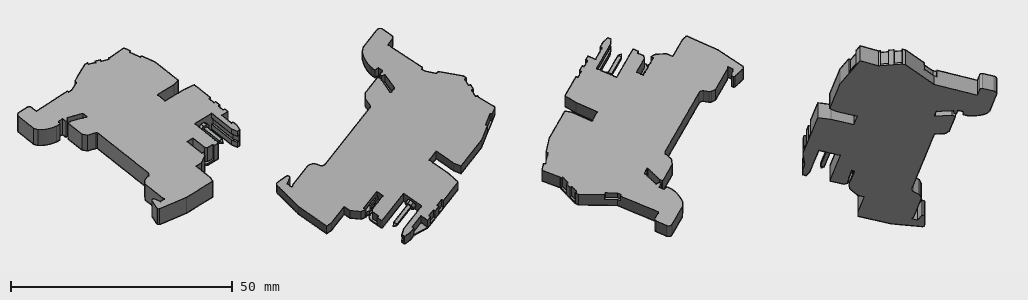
import cadquery as cq
import math


length = 47.4
height = 36.5
thickness = 5.05
skin = 0.55
recess_depth = 0.47

nose_bottom_y = 22.3
nose_top_y = 23.1
flank_corner = (2.1, 28.05)
block_corner = (1.8, 32.5)
block_top_y = 34.75
block_slope_end_x = 9.95
waist = (3.85, 14.4)

slot_left_x = 18.2
slot_right_x = 20.85
slot_floor_y = 28.1

tower_left_x = 21.25
tower_right_x = 32.75
arm_y = 35.1
tip_x = 39.0
lug_radius = 0.25
cavity_x = 30.78
cavity_top_y = 33.35
cavity_bottom_y = 28.25
arm_taper_x = 37.6
arm_tip_bottom_y = 33.8

pin_y = 30.6
pin_z = thickness / 2
pin_width = 0.9
pin_shank_end_x = 37.0
pin_tip_x = 37.8
pin_tip_width = 0.15
collar_diameter = 2.35
collar_end_x = 31.72
pin_root = 0.95

contact_left_x = 34.47
contact_bottom_y = 23.75
contact_top_y = 24.37
contact_pocket_x = contact_left_x - recess_depth
contact_pocket_bottom_y = 23.15
contact_pocket_top_y = 24.85
shelf_y = 23.45
shelf_z = thickness / 2
shelf_peak = (37.9, 24.05)
lip_recess_top_y = 26.9
lip_chamfer = 0.47

shoulder_y = 19.4
shoulder_x = 41.3
hook_bottom_y = 3.8

rail_y = 9.85
rail_right_x = 36.32
rail_shoulder_y = 6.9
rail_knee = (37.0, 7.7)
latch_gap_left_x = 11.0
latch_gap_right_x = 11.65
latch_top_y = 11.5
foot_left_x = 1.8
foot_top_y = 4.13
foot_right_x = 10.75
foot_bottom_radius = 0.95
foot_top_radius = 0.55
rail_radius = 0.95


def prism(points, z_low, z_high):
    """Closed polygon extruded between two heights."""
    return (
        cq.Workplane("XY")
        .workplane(offset=z_low)
        .polyline(points)
        .close()
        .extrude(z_high - z_low)
    )


def edge_recess(start, end, first, last, floor_z):
    """Cutter along the edge start-end, sunk to the right of its direction.

    It covers the distances first to last from start and is open upwards.
    """
    run = math.dist(start, end)
    ux = (end[0] - start[0]) / run
    uy = (end[1] - start[1]) / run

    def along(distance, depth):
        return (
            start[0] + ux * distance + uy * depth,
            start[1] + uy * distance - ux * depth,
        )

    corners = [
        along(first, -recess_depth),
        along(last, -recess_depth),
        along(last, recess_depth),
        along(first, recess_depth),
    ]
    return prism(corners, floor_z, thickness)


def round_corner(body, x, y, radius):
    """Fillet the upright edge at (x, y)."""
    reach = 0.1
    box = cq.selectors.BoxSelector(
        (x - reach, y - reach, -reach), (x + reach, y + reach, thickness + reach)
    )
    return body.edges("|Z").edges(box).fillet(radius)


upper_left = [
    block_corner,
    (block_slope_end_x, block_top_y),
    (17.8, block_top_y),
    (slot_left_x, 33.1),
    (slot_left_x, slot_floor_y),
    (slot_right_x, slot_floor_y),
    (slot_right_x, 33.53),
]
tower_and_cavity = [
    (tower_left_x, height),
    (tower_right_x, height),
    (36.0, arm_y),
    (37.4, arm_y),
    (tip_x, 34.6),
    (tip_x, arm_tip_bottom_y),
    (arm_taper_x, cavity_top_y),
    (cavity_x, cavity_top_y),
    (cavity_x, cavity_bottom_y),
    (tip_x, cavity_bottom_y),
]
contact_slot = [
    (tip_x, 24.9),
    (38.5, 24.25),
    (37.22, 24.25),
    (37.1, contact_top_y),
    (contact_left_x, contact_top_y),
    (contact_left_x, contact_bottom_y),
    (tip_x, contact_bottom_y),
]
right_side = [
    (39.98, 23.2),
    (shoulder_x, 20.95),
    (shoulder_x, shoulder_y),
    (46.15, shoulder_y),
    (length, 19.0),
    (length, 11.1),
    (46.2, 4.13),
    (45.9, hook_bottom_y),
    (45.45, hook_bottom_y + 0.05),
    (43.05, 4.55),
    (42.8, 4.8),
    (42.8, 5.3),
    (44.55, 5.8),
    (44.55, 7.1),
    (43.9, rail_shoulder_y),
]
rail_seat = [
    (38.1, rail_shoulder_y),
    rail_knee,
    (rail_right_x, rail_y),
    (18.5, rail_y),
    (18.2, 9.6),
    (17.6, 7.7),
    (16.5, rail_shoulder_y),
    (latch_gap_right_x, rail_shoulder_y),
]
latch = [
    (latch_gap_right_x, 7.8),
    (13.0, 11.3),
    (13.0, latch_top_y),
    (11.55, latch_top_y),
    (10.3, 7.85),
    (latch_gap_left_x, 7.5),
    (latch_gap_left_x, rail_shoulder_y),
    (9.85, rail_shoulder_y),
    (9.85, 5.7),
    (foot_right_x, 5.45),
    (foot_right_x, 4.35),
]
foot_arc_middle = (10.15, 2.3)
foot_arc_end = (8.85, 0.45)
foot_and_flank = [
    (7.85, 0.0),
    (foot_left_x, 0.0),
    (foot_left_x, foot_top_y),
    (4.13, foot_top_y),
    waist,
    (0.0, nose_bottom_y),
    (0.0, nose_top_y),
    flank_corner,
]

before_foot_arc = upper_left + tower_and_cavity + contact_slot + right_side + rail_seat + latch
housing = (
    cq.Workplane("XY")
    .polyline(before_foot_arc)
    .threePointArc(foot_arc_middle, foot_arc_end)
    .polyline(foot_and_flank, includeCurrent=True)
    .close()
    .extrude(thickness)
)
housing = round_corner(housing, foot_left_x, 0.0, foot_bottom_radius)
housing = round_corner(housing, foot_left_x, foot_top_y, foot_top_radius)
housing = round_corner(housing, rail_right_x, rail_y, rail_radius)
housing = round_corner(housing, *rail_knee, rail_radius)
housing = round_corner(housing, tip_x, cavity_bottom_y, lug_radius)

nose_top = (0.0, nose_top_y)
flank_recess_spans = [(0.1, 1.85), (3.15, 5.0)]
for first, last in flank_recess_spans:
    housing = housing.cut(edge_recess(nose_top, flank_corner, first, last, skin))

block_slope_end = (block_slope_end_x, block_top_y)
block_recess_start = 1.8
block_recess_end = 4.75
block_recess = edge_recess(block_corner, block_slope_end, block_recess_start, block_recess_end, skin)
housing = housing.cut(block_recess)

tower_left = (tower_left_x, height)
tower_right = (tower_right_x, height)
tower_recess_length = 1.7
tower_recess_starts = [5.6, 8.73]
for first in tower_recess_starts:
    last = first + tower_recess_length
    housing = housing.cut(edge_recess(tower_left, tower_right, first, last, skin))

waist_recess_floor = 2.9
waist_recess = prism(
    [(1.9, 17.05), (3.15, 17.05), (4.25, 14.55), (4.25, 13.7), (3.3, 13.7)],
    waist_recess_floor,
    thickness,
)
housing = housing.cut(waist_recess)

ramp_pocket_right_x = 36.1
ramp_pocket_floor_y = 34.6
ramp_pocket = prism(
    [
        (tower_right_x, height),
        (ramp_pocket_right_x, height),
        (ramp_pocket_right_x, ramp_pocket_floor_y),
        (tower_right_x, ramp_pocket_floor_y),
    ],
    skin,
    thickness,
)
housing = housing.cut(ramp_pocket)

groove_bottom_z = 1.55
groove_top_z = 3.45
groove_depth = 0.47
arm_groove = prism(
    [
        (cavity_x, cavity_top_y + groove_depth),
        (arm_taper_x, cavity_top_y + groove_depth),
        (tip_x, arm_tip_bottom_y + groove_depth),
        (tip_x, cavity_top_y),
        (cavity_x, cavity_top_y),
    ],
    groove_bottom_z,
    groove_top_z,
)
housing = housing.cut(arm_groove)

lip_x = tip_x - recess_depth
contact_pocket = prism(
    [
        (contact_pocket_x, contact_pocket_bottom_y),
        (contact_pocket_x, contact_pocket_top_y),
        (lip_x - lip_chamfer, contact_pocket_top_y),
        (lip_x, contact_pocket_top_y + lip_chamfer),
        (lip_x, lip_recess_top_y),
        (tip_x, lip_recess_top_y),
        (tip_x, contact_pocket_bottom_y),
    ],
    skin,
    thickness,
)
contact_shelf = prism(
    [
        (contact_pocket_x, contact_pocket_bottom_y),
        (contact_pocket_x, shelf_y),
        (37.1, shelf_y),
        shelf_peak,
        (38.5, contact_bottom_y),
        (tip_x, shelf_y),
        (tip_x, contact_pocket_bottom_y),
    ],
    0,
    shelf_z,
)
housing = housing.cut(contact_pocket).union(contact_shelf)

pin_base = cq.Workplane("YZ", origin=(cavity_x - pin_root, pin_y, pin_z))
collar_across_flats = math.sqrt(collar_diameter**2 - pin_width**2)
collar_length = collar_end_x - cavity_x + pin_root
collar_flats = pin_base.rect(collar_diameter, collar_across_flats).extrude(collar_length)
collar = pin_base.circle(collar_diameter / 2).extrude(collar_length).intersect(collar_flats)
shank = pin_base.rect(pin_width, pin_width).extrude(pin_shank_end_x - cavity_x + pin_root)
point = (
    cq.Workplane("YZ", origin=(pin_shank_end_x, pin_y, pin_z))
    .rect(pin_width, pin_width)
    .workplane(offset=pin_tip_x - pin_shank_end_x)
    .rect(pin_tip_width, pin_tip_width)
    .loft()
)

result = housing.union(collar).union(shank).union(point)